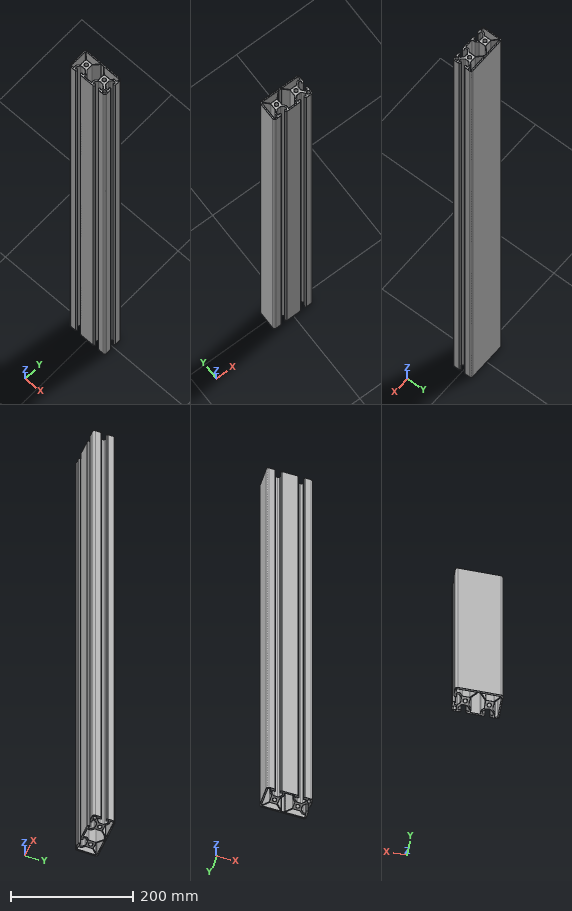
import cadquery as cq
import math

length = 1000.0
width = 80.0
height = 40.0
corner_radius = 4.0

cell_half = height / 2
cell_x = width / 4
core_half = 7.1
core_hole_diameter = 6.8
wall = 2.5
web_half = 0.8

mouth_half = 6.1
mouth_depth = 1.5
mouth_radius = 2.0
opening_half = 3.9
lip_depth = 5.1
lip_root_depth = 2.6
lip_radius = 1.3
pocket_half = 9.1
pocket_radius = 1.4
pocket_wall = 2.7
slot_web_half = 2.9
floor_radius = 3.8
overshoot = 1.0

chamber_radius = 0.3
corner_chamber_radius = 1.4

inner = cell_half - wall
pocket_back = pocket_half + pocket_wall
core_corner = core_half - web_half
inner_corner = inner - web_half
back_corner = pocket_back - web_half


def rounded_prism(corners):
    """Full-length prism on a closed outline of (x, y, radius) corners."""
    stretches = []
    count = len(corners)
    for i, (x, y, radius) in enumerate(corners):
        corner = cq.Vector(x, y)
        before = cq.Vector(*corners[i - 1][:2]) - corner
        after = cq.Vector(*corners[(i + 1) % count][:2]) - corner
        half_angle = before.getAngle(after) / 2
        if radius == 0:
            stretches.append((corner, None, corner))
            continue
        setback = radius / math.tan(half_angle)
        to_middle = (before.normalized() + after.normalized()).normalized()
        middle = corner + to_middle * (radius / math.sin(half_angle) - radius)
        start = corner + before.normalized() * setback
        end = corner + after.normalized() * setback
        stretches.append((start, middle, end))

    outline = cq.Workplane("XY").moveTo(*stretches[0][2].toTuple()[:2])
    for start, middle, end in stretches[1:] + stretches[:1]:
        outline = outline.lineTo(*start.toTuple()[:2])
        if middle is not None:
            outline = outline.threePointArc(middle.toTuple()[:2], end.toTuple()[:2])
    return outline.close().extrude(length)


def mirrored(half_outline):
    """Half outline closed by its mirror image across the Y axis."""
    return half_outline + [(-x, y, radius) for x, y, radius in reversed(half_outline)]


def moved(corners, dx):
    """Corners shifted along X."""
    return [(x + dx, y, radius) for x, y, radius in corners]


def rounded(points, radius=chamber_radius):
    """Points given one common corner radius."""
    return [(x, y, radius) for x, y in points]


def slot():
    """T-slot open towards -Y, in a cell centred on the origin."""
    half_outline = [
        (mouth_half, -cell_half - overshoot, 0),
        (mouth_half, -cell_half, 0),
        (opening_half, mouth_depth - cell_half, mouth_radius),
        (opening_half, lip_depth - cell_half, lip_radius),
        (pocket_half, lip_root_depth - cell_half, lip_radius),
        (pocket_half, -pocket_half - slot_web_half, pocket_radius),
        (core_half - slot_web_half, -core_half, floor_radius),
    ]
    return rounded_prism(mirrored(half_outline))


def left_chamber():
    """Chamber behind the closed -X wall."""
    points = [
        (-inner, inner_corner),
        (-core_half, core_corner),
        (-core_half, -core_corner),
        (-pocket_back, -back_corner),
        (-pocket_back, -inner),
        (-inner, -inner),
    ]
    return rounded_prism(moved(rounded(points), -cell_x))


def upper_left_chamber():
    """Chamber between the left core and the closed +Y wall."""
    half_outline = [(inner_corner, inner), (core_corner, core_half)]
    return rounded_prism(moved(mirrored(rounded(half_outline)), -cell_x))


def upper_right_chamber():
    """Chamber above the right core, reaching over the +X slot."""
    points = [
        (-inner_corner, inner),
        (inner, inner),
        (inner, pocket_back),
        (back_corner, pocket_back),
        (core_corner, core_half),
        (-core_corner, core_half),
    ]
    return rounded_prism(moved(rounded(points), cell_x))


def middle_chamber():
    """Large chamber between the two cores."""
    half_outline = [
        (cell_x - inner, inner),
        (cell_x - inner, inner_corner),
        (cell_x - core_half, core_corner),
        (cell_x - core_half, -core_corner),
        (cell_x - pocket_back, -back_corner),
        (cell_x - pocket_back, -inner),
    ]
    return rounded_prism(mirrored(rounded(half_outline)))


def corner_chamber():
    """Small chamber in the corner between the -Y and +X slots."""
    points = [
        (pocket_back, -pocket_back),
        (inner, -pocket_back),
        (inner, -inner),
        (pocket_back, -inner),
    ]
    return rounded_prism(moved(rounded(points, corner_chamber_radius), cell_x))


body = cq.Workplane("XY").rect(width, height).extrude(length)
body = body.edges("|Z").fillet(corner_radius)

down_slot = slot()
right_slot = down_slot.rotate((0, 0, 0), (0, 0, 1), 90)
core_holes = cq.Workplane("XY").pushPoints([(-cell_x, 0), (cell_x, 0)])

cutters = [
    down_slot.translate((-cell_x, 0, 0)),
    down_slot.translate((cell_x, 0, 0)),
    right_slot.translate((cell_x, 0, 0)),
    left_chamber(),
    upper_left_chamber(),
    upper_right_chamber(),
    middle_chamber(),
    corner_chamber(),
    core_holes.circle(core_hole_diameter / 2).extrude(length),
]
solids = [solid for cutter in cutters for solid in cutter.solids().vals()]
result = cq.Workplane(body.val().cut(*solids)).solids()